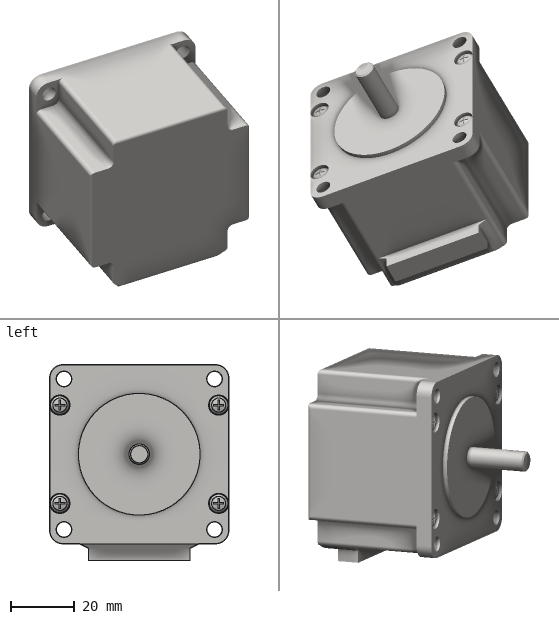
import cadquery as cq
import math

total_length = 62.6
frame_width = 56.0
half_frame = frame_width / 2

shaft_radius = 3.2
shaft_chamfer = 0.5
boss_radius = 19.0
boss_face_x = 19.0

flange_face_x = 20.5
flange_thickness = 5.1
flange_back_x = flange_face_x + flange_thickness
flange_corner_radius = 4.2
mount_hole_diameter = 4.75
mount_hole_spacing = 47.1

side_arm_half_height = 18.5
upright_arm_half_width = 20.1
arm_edge_radius = 1.45
notch_radius = 1.95
end_round_radius = 1.0

cap_face_x = 50.6
total_height = 61.3
outlet_bottom_z = -29.4
connector_half_width = 15.9
connector_length = 6.8
connector_bottom_z = half_frame - total_height

screw_spacing_y = 49.65
screw_spacing_z = 30.75
counterbore_radius = 3.1
counterbore_depth = 2.45
head_radius = 2.95
head_rim_depth = 1.2
head_shoulder_radius = 2.2
head_shoulder_depth = 0.6
head_crown_depth = 0.1
cross_slot_length = 3.1
cross_slot_width = 0.5
cross_slot_depth = 0.55


def yz_plane(x):
    """Plane facing +X at the given X; its local axes are Y and Z."""
    return cq.Workplane("YZ", origin=(x, 0, 0))


def make_shaft():
    shaft = yz_plane(0).circle(shaft_radius).extrude(flange_face_x)
    return shaft.faces("<X").chamfer(shaft_chamfer)


def make_boss():
    return yz_plane(boss_face_x).circle(boss_radius).extrude(flange_back_x - boss_face_x)


def make_flange():
    flange = yz_plane(flange_face_x).rect(frame_width, frame_width).extrude(flange_thickness)
    return flange.edges("|X").fillet(flange_corner_radius)


def make_cross_body():
    """Square block with four rounded notches cut along its long edges."""
    length = total_length - flange_back_x
    body = yz_plane(flange_back_x).rect(frame_width, frame_width).extrude(length)
    notch_width = 2 * (half_frame - upright_arm_half_width)
    notch_height = 2 * (half_frame - side_arm_half_height)
    notches = (
        yz_plane(flange_back_x)
        .rect(frame_width, frame_width, forConstruction=True)
        .vertices()
        .rect(notch_width, notch_height)
        .extrude(length)
        .edges("|X")
        .fillet(notch_radius)
    )
    body = body.cut(notches)
    outer_edges = body.edges("|X and (<Y or >Y or <Z or >Z)")
    return outer_edges.fillet(arm_edge_radius)


def make_cable_outlet():
    """Sloped rib under the rear cap, with the connector block hanging from it."""
    rib_top_half_width = upright_arm_half_width - arm_edge_radius
    rib = (
        yz_plane(cap_face_x)
        .moveTo(-rib_top_half_width, 0)
        .lineTo(-rib_top_half_width, -half_frame)
        .lineTo(-connector_half_width, outlet_bottom_z)
        .lineTo(connector_half_width, outlet_bottom_z)
        .lineTo(rib_top_half_width, -half_frame)
        .lineTo(rib_top_half_width, 0)
        .close()
        .extrude(total_length - cap_face_x)
    )
    connector = cq.Workplane("XY").box(
        connector_length,
        2 * connector_half_width,
        -connector_bottom_z,
        centered=(False, True, False),
    )
    return rib.union(connector.translate((cap_face_x, 0, connector_bottom_z)))


def end_round_cutter(face_distance, angle):
    """Cutter that rounds the rear edge of the top face, turned about X by the angle."""
    round_start_x = total_length - end_round_radius
    round_end_z = face_distance - end_round_radius
    arc_reach = end_round_radius * math.sqrt(0.5)
    cutter = (
        cq.Workplane("XZ")
        .moveTo(round_start_x, face_distance)
        .lineTo(total_length, face_distance)
        .lineTo(total_length, round_end_z)
        .threePointArc(
            (round_start_x + arc_reach, round_end_z + arc_reach),
            (round_start_x, face_distance),
        )
        .close()
        .extrude(half_frame, both=True)
    )
    return cutter.rotate((0, 0, 0), (1, 0, 0), angle)


def make_counterbore():
    return yz_plane(flange_face_x).circle(counterbore_radius).extrude(counterbore_depth)


def make_screw_head():
    """Crowned head with a cross recess, standing on the counterbore floor."""
    rim_x = flange_face_x + head_rim_depth
    shoulder_x = flange_face_x + head_shoulder_depth
    crown_x = flange_face_x + head_crown_depth
    floor_x = flange_face_x + counterbore_depth
    head = (
        cq.Workplane("XY")
        .moveTo(crown_x, 0)
        .lineTo(shoulder_x, head_shoulder_radius)
        .lineTo(rim_x, head_radius)
        .lineTo(floor_x, head_radius)
        .lineTo(floor_x, 0)
        .close()
        .revolve(360, (0, 0, 0), (1, 0, 0))
    )
    for slot_size in (
        (cross_slot_length, cross_slot_width),
        (cross_slot_width, cross_slot_length),
    ):
        slot = yz_plane(flange_face_x).rect(*slot_size).extrude(head_crown_depth + cross_slot_depth)
        head = head.cut(slot)
    return head


motor = make_flange().union(make_boss()).union(make_shaft())
motor = motor.union(make_cross_body()).union(make_cable_outlet())

for edge_angle, edge_distance in (
    (0, half_frame),
    (90, half_frame),
    (180, -outlet_bottom_z),
    (270, half_frame),
):
    motor = motor.cut(end_round_cutter(edge_distance, edge_angle))

mount_holes = (
    yz_plane(flange_face_x)
    .rect(mount_hole_spacing, mount_hole_spacing, forConstruction=True)
    .vertices()
    .circle(mount_hole_diameter / 2)
    .extrude(flange_thickness)
)
motor = motor.cut(mount_holes)

for screw_y in (-screw_spacing_y / 2, screw_spacing_y / 2):
    for screw_z in (-screw_spacing_z / 2, screw_spacing_z / 2):
        screw_offset = (0, screw_y, screw_z)
        motor = motor.cut(make_counterbore().translate(screw_offset))
        motor = motor.union(make_screw_head().translate(screw_offset))

result = motor